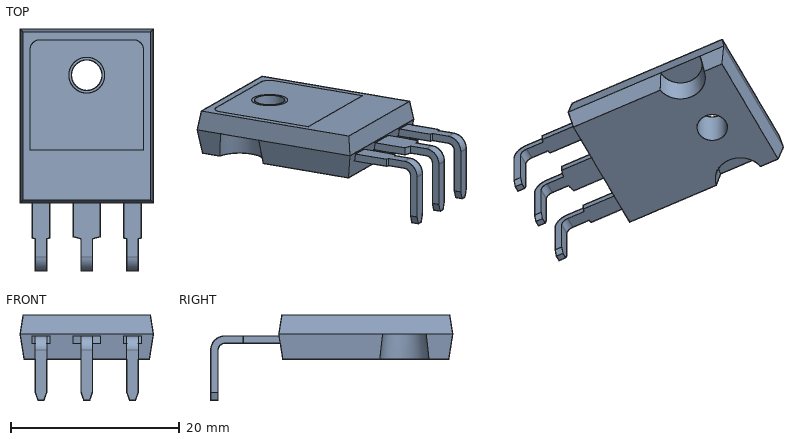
import cadquery as cq
import math

TOTAL_LENGTH = 28.8
TOTAL_HEIGHT = 10.15

BODY_WIDTH = 15.85
BODY_LENGTH = 20.7
UPPER_HEIGHT = 2.3
LOWER_HEIGHT = 3.0
DRAFT_ANGLE = 9.0
BODY_BACK_Y = TOTAL_LENGTH / 2
BODY_FRONT_Y = BODY_BACK_Y - BODY_LENGTH
BODY_CENTER_Y = (BODY_BACK_Y + BODY_FRONT_Y) / 2

HOLE_DIAMETER = 3.6
RING_DIAMETER = 4.25
HOLE_SETBACK = 5.5
HOLE_Y = BODY_BACK_Y - HOLE_SETBACK

NOTCH_TOP_RADIUS = 2.6
NOTCH_BOTTOM_RADIUS = 2.97
NOTCH_SETBACK = 5.75
NOTCH_Y = BODY_BACK_Y - NOTCH_SETBACK

PAD_WIDTH = 13.47
PAD_LENGTH = 13.1
PAD_THICKNESS = 1.45
PAD_CORNER_RADIUS = 1.15
PAD_SETBACK = 1.3
PAD_CENTER_Y = BODY_BACK_Y - PAD_SETBACK - PAD_LENGTH / 2

LEAD_PITCH = 5.45
LEAD_THICKNESS = 0.9
LEAD_WIDTH = 1.38
OUTER_SHANK_WIDTH = 2.1
MIDDLE_SHANK_WIDTH = 3.22
SHOULDER_ANGLE = 15.0
BEND_OUTER_RADIUS = 1.7
BEND_INNER_RADIUS = BEND_OUTER_RADIUS - LEAD_THICKNESS
TIP_WIDTH = 0.72
TIP_LENGTH = 0.95
EMBED_DEPTH = 1.45
LEAD_TOP_Z = -0.2
LEAD_FRONT_Y = -TOTAL_LENGTH / 2
LEAD_BOTTOM_Z = UPPER_HEIGHT - TOTAL_HEIGHT
LEAD_BACK_Y = BODY_FRONT_Y + EMBED_DEPTH
SHOULDER_DISTANCE = 3.83
SHOULDER_Y = LEAD_FRONT_Y + SHOULDER_DISTANCE

LEADS = [
    (-LEAD_PITCH, OUTER_SHANK_WIDTH),
    (0, MIDDLE_SHANK_WIDTH),
    (LEAD_PITCH, OUTER_SHANK_WIDTH),
]


def make_lead(center_x, shank_width):
    """Flat strip bent down 90 degrees, with a wide shank and a pointed tip."""
    strip_bottom_z = LEAD_TOP_Z - LEAD_THICKNESS
    bend_y = LEAD_FRONT_Y + BEND_OUTER_RADIUS
    bend_z = LEAD_TOP_Z - BEND_OUTER_RADIUS
    leg_back_y = LEAD_FRONT_Y + LEAD_THICKNESS
    diagonal = math.sqrt(0.5)

    strip = (
        cq.Workplane("YZ")
        .moveTo(LEAD_BACK_Y, LEAD_TOP_Z)
        .lineTo(bend_y, LEAD_TOP_Z)
        .threePointArc(
            (bend_y - BEND_OUTER_RADIUS * diagonal, bend_z + BEND_OUTER_RADIUS * diagonal),
            (LEAD_FRONT_Y, bend_z),
        )
        .lineTo(LEAD_FRONT_Y, LEAD_BOTTOM_Z)
        .lineTo(leg_back_y, LEAD_BOTTOM_Z)
        .lineTo(leg_back_y, bend_z)
        .threePointArc(
            (bend_y - BEND_INNER_RADIUS * diagonal, bend_z + BEND_INNER_RADIUS * diagonal),
            (bend_y, strip_bottom_z),
        )
        .lineTo(LEAD_BACK_Y, strip_bottom_z)
        .close()
        .extrude(LEAD_WIDTH / 2, both=True)
    )

    for side in (-1, 1):
        corner = (
            cq.Workplane("XZ", origin=(0, LEAD_FRONT_Y, 0))
            .moveTo(side * LEAD_WIDTH / 2, LEAD_BOTTOM_Z + TIP_LENGTH)
            .lineTo(side * LEAD_WIDTH / 2, LEAD_BOTTOM_Z)
            .lineTo(side * TIP_WIDTH / 2, LEAD_BOTTOM_Z)
            .close()
            .extrude(-LEAD_THICKNESS)
        )
        strip = strip.cut(corner)

    overhang = (shank_width - LEAD_WIDTH) / 2
    shoulder_end_y = SHOULDER_Y + overhang * math.tan(math.radians(SHOULDER_ANGLE))
    shank = (
        cq.Workplane("XY", origin=(0, 0, strip_bottom_z))
        .polyline([
            (-LEAD_WIDTH / 2, SHOULDER_Y),
            (LEAD_WIDTH / 2, SHOULDER_Y),
            (shank_width / 2, shoulder_end_y),
            (shank_width / 2, LEAD_BACK_Y),
            (-shank_width / 2, LEAD_BACK_Y),
            (-shank_width / 2, shoulder_end_y),
        ])
        .close()
        .extrude(LEAD_THICKNESS)
    )
    return strip.union(shank).translate((center_x, 0, 0))


def make_pad():
    """Metal plate with rounded back corners and a hole for the housing ring."""
    plate = (
        cq.Workplane("XY", origin=(0, PAD_CENTER_Y, UPPER_HEIGHT - PAD_THICKNESS))
        .rect(PAD_WIDTH, PAD_LENGTH)
        .extrude(PAD_THICKNESS)
        .edges("|Z and >Y")
        .fillet(PAD_CORNER_RADIUS)
    )
    ring_hole = (
        cq.Workplane("XY", origin=(0, HOLE_Y, UPPER_HEIGHT - PAD_THICKNESS))
        .circle(RING_DIAMETER / 2)
        .extrude(PAD_THICKNESS)
    )
    return plate.cut(ring_hole)


def make_notch(side):
    """Cone below the parting plane, widening downwards, on one long side."""
    return (
        cq.Workplane("XY", origin=(side * BODY_WIDTH / 2, NOTCH_Y, 0))
        .circle(NOTCH_TOP_RADIUS)
        .workplane(offset=-LOWER_HEIGHT)
        .circle(NOTCH_BOTTOM_RADIUS)
        .loft()
    )


def make_half(height):
    """Drafted block rising (or hanging, if height is negative) from the parting plane."""
    return (
        cq.Workplane("XY", origin=(0, BODY_CENTER_Y, 0))
        .rect(BODY_WIDTH, BODY_LENGTH)
        .extrude(height, taper=DRAFT_ANGLE)
    )


def make_housing(inserts):
    """Drafted block with the mounting hole, side notches and seats for the inserts."""
    upper = make_half(UPPER_HEIGHT)
    lower = make_half(-LOWER_HEIGHT)
    body = upper.union(lower)

    hole = (
        cq.Workplane("XY", origin=(0, HOLE_Y, -LOWER_HEIGHT))
        .circle(HOLE_DIAMETER / 2)
        .extrude(LOWER_HEIGHT + UPPER_HEIGHT)
    )
    body = body.cut(hole)

    for side in (-1, 1):
        body = body.cut(make_notch(side))
    for insert in inserts:
        body = body.cut(insert)
    return body


pad = make_pad()
leads = [make_lead(center_x, shank_width) for center_x, shank_width in LEADS]
housing = make_housing([pad, *leads])

result = cq.Compound.makeCompound([housing.val(), pad.val(), *[lead.val() for lead in leads]])